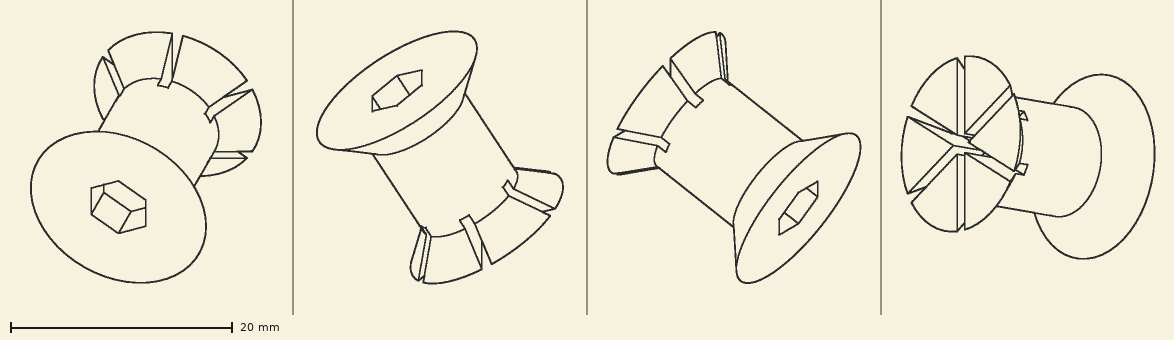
import cadquery as cq
import math

length = 16.0
head_diameter = 16.8
flare_diameter = 16.0
shank_diameter = 10.0
hex_across_flats = 5.2
slot_width = 1.0
slot_depth = 4.0
slot_count = 6

shank_radius = shank_diameter / 2
head_radius = head_diameter / 2
flare_radius = flare_diameter / 2
head_height = head_radius - shank_radius
flare_height = flare_radius - shank_radius
hex_depth = head_height


def make_body():
    """Shank with a countersunk head at the front (Y = 0) and a flare at the back."""
    return (
        cq.Workplane("XY")
        .moveTo(0, 0)
        .lineTo(head_radius, 0)
        .lineTo(shank_radius, head_height)
        .lineTo(shank_radius, length - flare_height)
        .lineTo(flare_radius, length)
        .lineTo(0, length)
        .close()
        .revolve(360, (0, 0, 0), (0, 1, 0))
    )


def make_hex_socket():
    """Hexagonal socket in the head, with two corners on the Z axis."""
    across_corners = hex_across_flats / math.cos(math.pi / 6)
    return (
        cq.Workplane("XZ")
        .transformed(rotate=(0, 0, 90))
        .polygon(6, across_corners)
        .extrude(-hex_depth)
    )


def make_slot(angle):
    """Radial slot from the axis outwards through the flare, turned about Y."""
    return (
        cq.Workplane("XY")
        .box(slot_width, slot_depth, flare_diameter, centered=(True, False, False))
        .translate((0, length - slot_depth, 0))
        .rotate((0, 0, 0), (0, 1, 0), angle)
    )


result = make_body().cut(make_hex_socket())
for index in range(slot_count):
    result = result.cut(make_slot(index * 360 / slot_count))